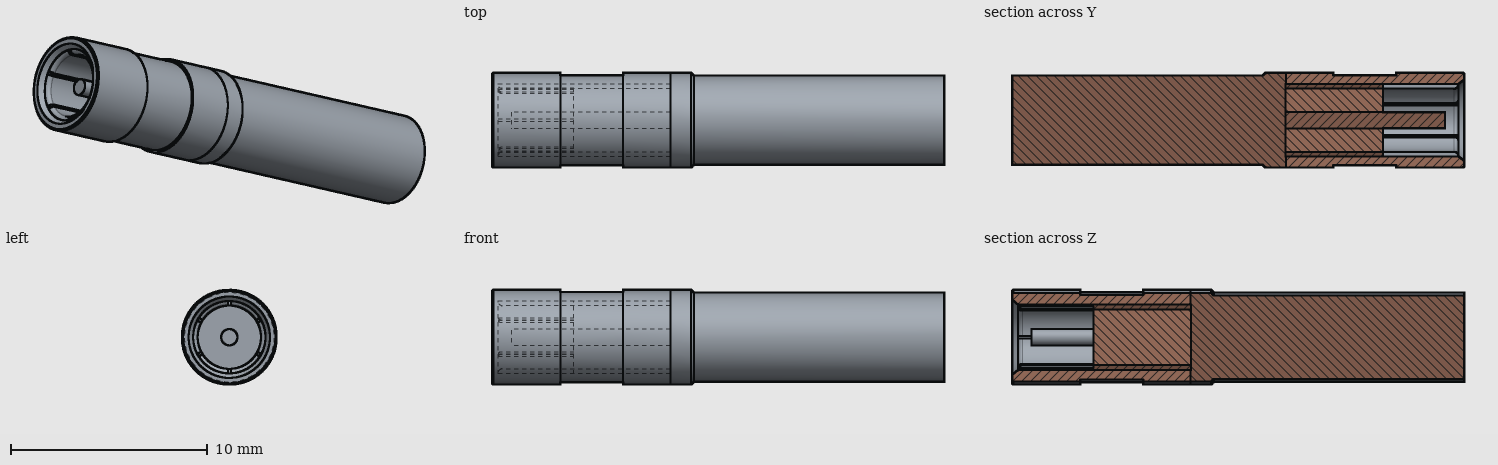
import cadquery as cq
import math

LENGTH = 23.0
OUTER_RADIUS = 2.42

SLEEVE_LENGTH = 9.08
NECK_START = 3.47
NECK_END = 6.67
NECK_RADIUS = 2.3
RIM_CHAMFER = 0.07
MOUTH_RADIUS = 2.07
BORE_RADIUS = 1.85
MOUTH_TAPER_LENGTH = 0.3

COLLAR_END = 10.25
COLLAR_CHAMFER = 0.14
TUBE_RADIUS = 2.28

COLLET_START = MOUTH_TAPER_LENGTH
COLLET_RADIUS = BORE_RADIUS
COLLET_BORE_RADIUS = 1.6
LIP_RADIUS = COLLET_RADIUS - COLLET_BORE_RADIUS
SLOT_COUNT = 6
SLOT_WIDTH = 0.15

INSULATOR_START = 4.15
SLOT_END = INSULATOR_START
PIN_RADIUS = 0.41
PIN_START = 1.0


def revolve_about_x(points):
    """Revolve a closed outline of (x, radius) points about the X axis."""
    return cq.Workplane("XY").polyline(points).close().revolve(360, (0, 0, 0), (1, 0, 0))


def make_sleeve():
    """Necked outer sleeve with a tapered mouth and a straight bore."""
    return revolve_about_x([
        (0, MOUTH_RADIUS),
        (0, OUTER_RADIUS - RIM_CHAMFER),
        (RIM_CHAMFER, OUTER_RADIUS),
        (NECK_START, OUTER_RADIUS),
        (NECK_START, NECK_RADIUS),
        (NECK_END, NECK_RADIUS),
        (NECK_END, OUTER_RADIUS),
        (SLEEVE_LENGTH, OUTER_RADIUS),
        (SLEEVE_LENGTH, BORE_RADIUS),
        (MOUTH_TAPER_LENGTH, BORE_RADIUS),
    ])


def make_ferrule():
    """Rear tube body whose chamfered collar sits flush against the sleeve."""
    return revolve_about_x([
        (SLEEVE_LENGTH, 0),
        (SLEEVE_LENGTH, OUTER_RADIUS),
        (COLLAR_END - COLLAR_CHAMFER, OUTER_RADIUS),
        (COLLAR_END, TUBE_RADIUS),
        (LENGTH, TUBE_RADIUS),
        (LENGTH, 0),
    ])


def make_collet():
    """Contact ring with a rounded lip, split into fingers by radial slots."""
    lip_diagonal_offset = LIP_RADIUS * math.sin(math.radians(45))
    lip_centre_x = COLLET_START + LIP_RADIUS
    outline = (
        cq.Workplane("XY")
        .moveTo(COLLET_START, COLLET_RADIUS)
        .lineTo(SLEEVE_LENGTH, COLLET_RADIUS)
        .lineTo(SLEEVE_LENGTH, COLLET_BORE_RADIUS)
        .lineTo(lip_centre_x, COLLET_BORE_RADIUS)
        .threePointArc(
            (lip_centre_x - lip_diagonal_offset, COLLET_RADIUS - lip_diagonal_offset),
            (COLLET_START, COLLET_RADIUS),
        )
        .close()
    )
    collet = outline.revolve(360, (0, 0, 0), (1, 0, 0))
    slot = cq.Workplane("XY").box(
        SLOT_END - COLLET_START, SLOT_WIDTH, COLLET_RADIUS, centered=(False, True, False)
    ).translate((COLLET_START, 0, 0))
    for index in range(SLOT_COUNT):
        collet = collet.cut(slot.rotate((0, 0, 0), (1, 0, 0), index * 360 / SLOT_COUNT))
    return collet


def make_insulator():
    """Disc that fills the collet bore around the pin."""
    return revolve_about_x([
        (INSULATOR_START, PIN_RADIUS),
        (INSULATOR_START, COLLET_BORE_RADIUS),
        (SLEEVE_LENGTH, COLLET_BORE_RADIUS),
        (SLEEVE_LENGTH, PIN_RADIUS),
    ])


def make_pin():
    """Plain cylindrical centre contact, ending against the ferrule."""
    return cq.Workplane("YZ", origin=(PIN_START, 0, 0)).circle(PIN_RADIUS).extrude(SLEEVE_LENGTH - PIN_START)


sleeve = make_sleeve()
ferrule = make_ferrule()
collet = make_collet()
insulator = make_insulator()
pin = make_pin()

result = cq.Compound.makeCompound([
    sleeve.val(),
    ferrule.val(),
    collet.val(),
    insulator.val(),
    pin.val(),
])